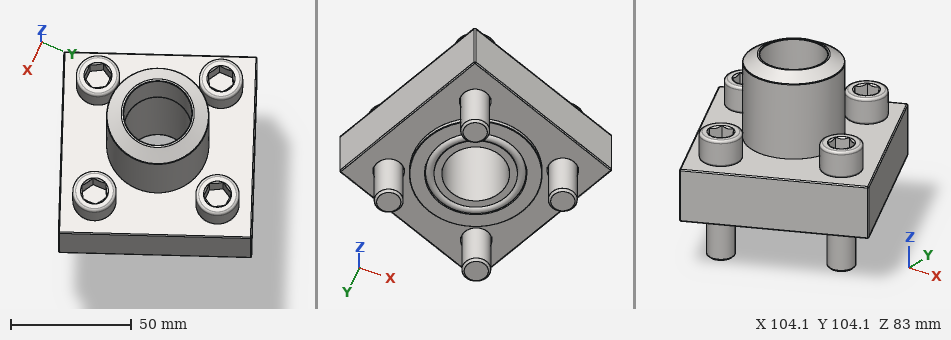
import cadquery as cq
import math

ASSEMBLY_ANGLE = 67.5
BOLT_COUNT = 4
EDGE_BREAK = 0.25

PLATE_SIDE = 80.0
PLATE_THICKNESS = 24.0
PLATE_CHAMFER = 0.5
NECK_DIAMETER = 42.4
NECK_HEIGHT = 38.0
NECK_BORE = 28.2
NECK_BORE_DEPTH = NECK_HEIGHT / 2
BEVEL_ANGLE = 30.0
BEVEL_LAND = 1.0
FLANGE_BORE = 28.0
BOSS_DIAMETER = 55.0
BOSS_HEIGHT = 2.0
BOLT_CIRCLE_DIAMETER = 72.0
BOLT_HOLE_DIAMETER = 13.0

RING_INNER_DIAMETER = 34.5
RING_SECTION = 3.53
GROOVE_WIDTH = 1.1 * RING_SECTION
GROOVE_DEPTH = 0.75 * RING_SECTION

SHANK_DIAMETER = 12.0
SHANK_LENGTH = 45.0
SHANK_CHAMFER = 1.0
HEAD_DIAMETER = 18.0
HEAD_HEIGHT = 12.0
HEAD_FILLET = 1.2
HEAD_BASE_FILLET = 0.8
SOCKET_SIDES = 6
SOCKET_ACROSS_FLATS = 10.0
SOCKET_DEPTH = 8.0

NECK_TOP = PLATE_THICKNESS + NECK_HEIGHT
BOSS_FACE = -BOSS_HEIGHT
GROOVE_FLOOR = BOSS_FACE + GROOVE_DEPTH
SOCKET_ACROSS_CORNERS = SOCKET_ACROSS_FLATS / math.cos(math.pi / SOCKET_SIDES)


def cylinder(diameter, bottom, top):
    """Upright cylinder on the Z axis between two heights."""
    return cq.Workplane("XY").workplane(offset=bottom).circle(diameter / 2).extrude(top - bottom)


def turned(profile):
    """Solid of revolution about Z from a closed (radius, height) outline."""
    return cq.Workplane("XZ").polyline(profile).close().revolve(360, (0, 0), (0, 1))


def make_neck():
    radius = NECK_DIAMETER / 2
    rim_radius = NECK_BORE / 2 + BEVEL_LAND
    bevel_slope = math.radians(BEVEL_ANGLE)
    bevel_base = NECK_TOP - (radius - rim_radius) * math.tan(bevel_slope)
    break_run = EDGE_BREAK * math.cos(bevel_slope)
    break_rise = EDGE_BREAK * math.sin(bevel_slope)
    return turned([
        (0, 0),
        (radius, 0),
        (radius, bevel_base - EDGE_BREAK),
        (radius - break_run, bevel_base + break_rise),
        (rim_radius, NECK_TOP),
        (0, NECK_TOP),
    ])


def make_bore():
    """Through bore, slightly wider in the upper half of the neck, with a broken rim edge."""
    flange_radius = FLANGE_BORE / 2
    neck_radius = NECK_BORE / 2
    step_height = NECK_TOP - NECK_BORE_DEPTH
    return turned([
        (0, BOSS_FACE),
        (flange_radius, BOSS_FACE),
        (flange_radius, step_height),
        (neck_radius, step_height),
        (neck_radius, NECK_TOP - EDGE_BREAK),
        (neck_radius + EDGE_BREAK, NECK_TOP),
        (0, NECK_TOP),
    ])


def make_groove():
    inner_radius = RING_INNER_DIAMETER / 2
    outer_radius = inner_radius + GROOVE_WIDTH
    return turned([
        (inner_radius, BOSS_FACE),
        (outer_radius, BOSS_FACE),
        (outer_radius, GROOVE_FLOOR),
        (inner_radius, GROOVE_FLOOR),
    ])


def make_flange():
    """Square plate, weld neck and sealing boss as one solid."""
    plate = cq.Workplane("XY").rect(PLATE_SIDE, PLATE_SIDE).extrude(PLATE_THICKNESS)
    plate = plate.edges().chamfer(PLATE_CHAMFER)
    plate = plate.rotate((0, 0, 0), (0, 0, 1), ASSEMBLY_ANGLE - 45)

    body = plate.union(make_neck())
    boss = cylinder(BOSS_DIAMETER, BOSS_FACE, PLATE_THICKNESS / 2)
    body = body.union(boss.faces("<Z").edges().chamfer(EDGE_BREAK))
    body = body.cut(make_bore())
    body = body.cut(make_groove())
    bolt_hole = cylinder(BOLT_HOLE_DIAMETER, 0, PLATE_THICKNESS)
    for index in range(BOLT_COUNT):
        body = body.cut(place_on_bolt_circle(bolt_hole, index))
    return body


def make_ring():
    """O-ring resting on the groove floor and against its inner wall."""
    section_radius = RING_SECTION / 2
    centre_radius = RING_INNER_DIAMETER / 2 + section_radius
    section = cq.Workplane("XZ").center(centre_radius, GROOVE_FLOOR - section_radius).circle(section_radius)
    return section.revolve(360, (-centre_radius, 0), (-centre_radius, 1))


def make_bolt():
    """Socket head bolt on the Z axis, its head seated on the plate top."""
    seat = PLATE_THICKNESS
    head_top = seat + HEAD_HEIGHT
    head = cylinder(HEAD_DIAMETER, seat, head_top)
    head = head.faces(">Z").edges().fillet(HEAD_FILLET)
    head = head.faces("<Z").edges().fillet(HEAD_BASE_FILLET)
    shank = cylinder(SHANK_DIAMETER, seat - SHANK_LENGTH, seat)
    shank = shank.faces("<Z").edges().chamfer(SHANK_CHAMFER)

    socket = (
        cq.Workplane("XY")
        .workplane(offset=head_top - SOCKET_DEPTH)
        .polygon(SOCKET_SIDES, SOCKET_ACROSS_CORNERS)
        .extrude(SOCKET_DEPTH)
        .rotate((0, 0, 0), (0, 0, 1), -ASSEMBLY_ANGLE)
    )
    lead_radius = SOCKET_ACROSS_CORNERS / 2
    lead_in = turned([(0, head_top - lead_radius), (lead_radius, head_top), (0, head_top)])
    return head.union(shank).cut(socket).cut(lead_in)


def place_on_bolt_circle(body, index):
    angle = ASSEMBLY_ANGLE + index * 360 / BOLT_COUNT
    moved = body.translate((BOLT_CIRCLE_DIAMETER / 2, 0, 0))
    return moved.rotate((0, 0, 0), (0, 0, 1), angle)


flange = make_flange()
ring = make_ring()
bolt = make_bolt()
bolts = [place_on_bolt_circle(bolt, index) for index in range(BOLT_COUNT)]

result = cq.Compound.makeCompound(
    [flange.val(), ring.val()] + [placed.val() for placed in bolts]
)